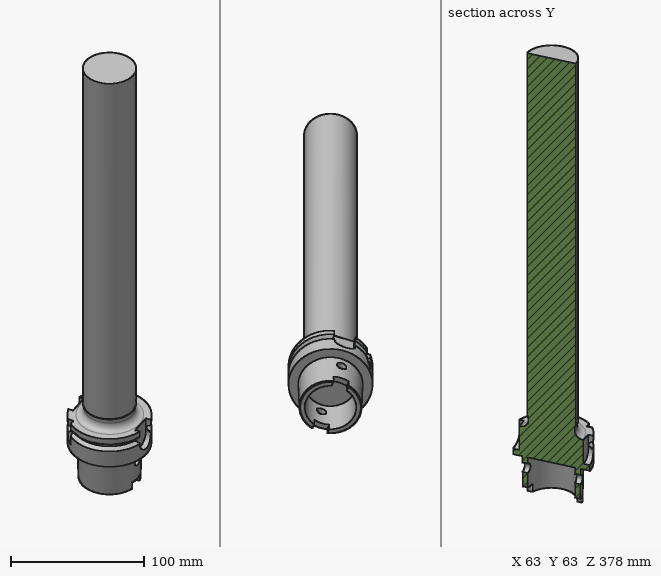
import cadquery as cq
import math

total_length = 378.0
collar_diameter = 63.0
collar_radius = collar_diameter / 2

taper_length = 32.0
taper_top_radius = 24.2
taper_bottom_radius = 23.5
taper_chamfer = 0.8
bore_radius = 19.3
bore_depth = taper_length

collar_height = 25.7
collar_top = taper_length + collar_height
groove_center = 49.5
groove_mouth = 6.5
groove_floor_width = 2.3
groove_floor_radius = 28.0

shank_radius = 20.0
shank_bottom = 68.0
neck_radius = 19.3
shoulder_height = 1.0
neck_fillet = 6.0

keyway_width = 17.0
keyway_bottom = 37.5
keyway_flat_offset = 26.5

drive_slot_width = 12.0
drive_slot_depth = 6.5
cross_hole_diameter = 7.5
cross_hole_height = 23.0

notch_corner = 20.0
notch_bottom = keyway_bottom
notch_arc_radius = keyway_width / 2


def make_body():
    """Revolve the full round profile about Z."""
    arc_offset = neck_fillet * (1 - math.sqrt(0.5))
    return (
        cq.Workplane("XZ")
        .moveTo(0, 0)
        .lineTo(taper_bottom_radius - taper_chamfer, 0)
        .lineTo(taper_bottom_radius, taper_chamfer)
        .lineTo(taper_top_radius, taper_length)
        .lineTo(collar_radius, taper_length)
        .lineTo(collar_radius, groove_center - groove_mouth / 2)
        .lineTo(groove_floor_radius, groove_center - groove_floor_width / 2)
        .lineTo(groove_floor_radius, groove_center + groove_floor_width / 2)
        .lineTo(collar_radius, groove_center + groove_mouth / 2)
        .lineTo(collar_radius, collar_top)
        .lineTo(neck_radius + neck_fillet, collar_top)
        .threePointArc(
            (neck_radius + arc_offset, collar_top + arc_offset),
            (neck_radius, collar_top + neck_fillet),
        )
        .lineTo(neck_radius, shank_bottom - shoulder_height)
        .lineTo(shank_radius, shank_bottom)
        .lineTo(shank_radius, total_length)
        .lineTo(0, total_length)
        .close()
        .revolve(360, (0, 0, 0), (0, 1, 0))
    )


def make_keyway(side):
    """Flat-floored keyway with a round lower end, on the +X (1) or -X (-1) side."""
    half_width = keyway_width / 2
    arc_center = keyway_bottom + half_width
    return (
        cq.Workplane("YZ", origin=(side * keyway_flat_offset, 0, 0))
        .moveTo(-half_width, collar_top)
        .lineTo(-half_width, arc_center)
        .threePointArc((0, keyway_bottom), (half_width, arc_center))
        .lineTo(half_width, collar_top)
        .close()
        .extrude(side * collar_radius)
    )


def make_bore():
    """Blind round bore up the hollow taper."""
    return cq.Workplane("XY").circle(bore_radius).extrude(bore_depth)


def make_drive_slot():
    """Rectangular slot across the lower end, along X."""
    return cq.Workplane("XY").box(
        collar_diameter, drive_slot_width, drive_slot_depth, centered=(True, True, False)
    )


def make_cross_hole():
    """Round hole through the taper, along X."""
    return (
        cq.Workplane("YZ", origin=(-collar_radius, 0, cross_hole_height))
        .circle(cross_hole_diameter / 2)
        .extrude(collar_diameter)
    )


def make_notch():
    """Square-cornered notch in the collar edge; its wall facing -Y rounds under at the lower end."""
    wall_arc_middle = notch_arc_radius * (1 - math.sqrt(0.5))
    arc_center = notch_bottom + notch_arc_radius
    return (
        cq.Workplane("YZ", origin=(-notch_corner, 0, 0))
        .moveTo(-notch_corner, collar_top)
        .lineTo(-notch_corner, arc_center)
        .threePointArc(
            (-notch_corner - wall_arc_middle, notch_bottom + wall_arc_middle),
            (-notch_corner - notch_arc_radius, notch_bottom),
        )
        .lineTo(-collar_radius, notch_bottom)
        .lineTo(-collar_radius, collar_top)
        .close()
        .extrude(-collar_radius)
    )


result = make_body().cut(make_bore())
for side in (-1, 1):
    result = result.cut(make_keyway(side))
result = result.cut(make_drive_slot())
result = result.cut(make_cross_hole())
result = result.cut(make_notch())